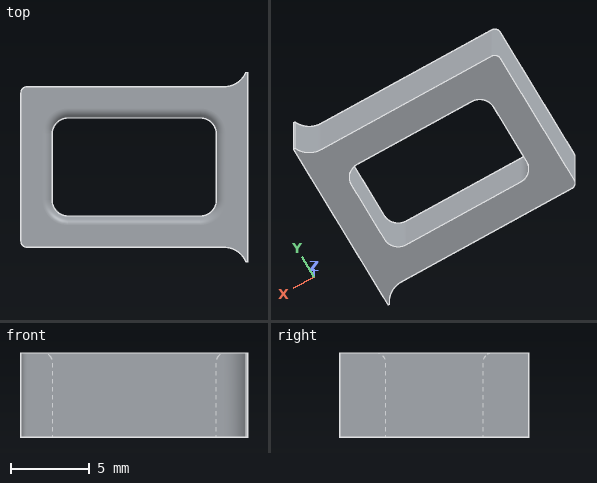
import cadquery as cq
import math

length = 14.4
body_width = 10.2
overall_width = 12.02
height = 5.36
corner_radius = 0.4
flare_radius = 1.5
wall = 2.0
window_corner_radius = 1.0
rim_radius = 0.6

half_length = length / 2
half_body = body_width / 2
half_overall = overall_width / 2
window_length = length - 2 * wall
window_width = body_width - 2 * wall

flare_start_x = half_length - flare_radius
flare_center_y = half_body + flare_radius
flare_sweep = math.acos((flare_center_y - half_overall) / flare_radius)


def flare_point(angle, side):
    """Point on the flare arc, swept by angle from its tangent start, on the +Y (1) or -Y (-1) side."""
    x = flare_start_x + flare_radius * math.sin(angle)
    y = flare_center_y - flare_radius * math.cos(angle)
    return (x, side * y)


def make_body():
    """Block with two flared tips at +X and rounded vertical edges at -X."""
    outline = (
        cq.Workplane("XY")
        .moveTo(-half_length, -half_body)
        .lineTo(*flare_point(0, -1))
        .threePointArc(flare_point(flare_sweep / 2, -1), flare_point(flare_sweep, -1))
        .lineTo(half_length, -half_overall)
        .lineTo(half_length, half_overall)
        .lineTo(*flare_point(flare_sweep, 1))
        .threePointArc(flare_point(flare_sweep / 2, 1), flare_point(0, 1))
        .lineTo(-half_length, half_body)
        .close()
    )
    block = outline.extrude(height)
    return block.faces("<X").edges("|Z").fillet(corner_radius)


def cut_window(body):
    """Cut the rounded rectangular window through the block and round its upper rim."""
    window = (
        cq.Workplane("XY")
        .rect(window_length, window_width)
        .extrude(height)
        .edges("|Z")
        .fillet(window_corner_radius)
    )
    half_box_x = (window_length + wall) / 2
    half_box_y = (window_width + wall) / 2
    rim_box = cq.selectors.BoxSelector(
        (-half_box_x, -half_box_y, height - rim_radius),
        (half_box_x, half_box_y, height + rim_radius),
    )
    return body.cut(window).faces(">Z").edges(rim_box).fillet(rim_radius)


result = cut_window(make_body())